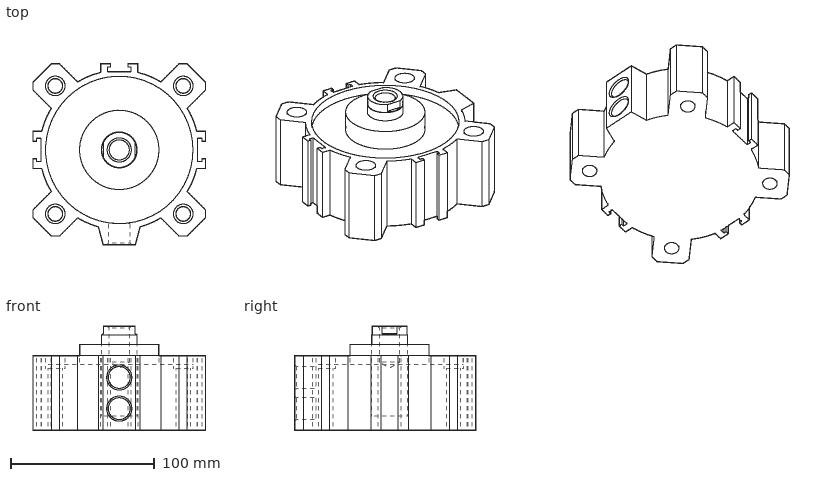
import cadquery as cq
import math

body_height = 52.0
body_radius = 55.5
half_width = 60.0

lug_width = 26.0
lug_reach = 75.8
lug_hole_offset = 44.5
lug_hole_diameter = 10.0
lug_counterbore_diameter = 13.6
lug_counterbore_depth = 9.0

rail_width = 26.0
slot_mouth_width = 12.0
slot_inner_width = 16.0
rail_angles = (0, 90, 180)
slot_lip = 2.5
slot_floor = 54.5

boss_face_y = -66.0
boss_face_width = 22.5
boss_root_y = -50.0
boss_flank_angle = 15.0
port_diameter = 15.2
port_mouth_diameter = 17.5
port_depth = 15.0
port_heights = (15.1, 36.8)

recess_diameter = 102.5
recess_depth = 6.3
guide_diameter = 55.2
guide_top = 59.8

rod_diameter = 25.0
rod_bottom = 10.0
rod_top = 72.5
rod_end_diameter = 24.4
shoulder_height = 66.3
flat_spacing = 22.0
flat_bottom = 67.2
bore_diameter = 14.0
bore_mouth_diameter = 16.8
bore_depth = 25.0
drill_point_angle = 118.0


def cylinder(diameter, bottom, top):
    return cq.Workplane("XY").workplane(offset=bottom).circle(diameter / 2).extrude(top - bottom)


def mounting_lug():
    lug = cq.Workplane("XY").rect(lug_reach, lug_width).extrude(body_height)
    return lug.translate((lug_reach / 2, 0, 0))


def mounting_lugs():
    """Four diagonal arms whose corners are trimmed by the square outer limits."""
    limits = cq.Workplane("XY").rect(2 * half_width, 2 * half_width).extrude(body_height)
    lugs = cq.Workplane("XY")
    for angle in (45, 135, 225, 315):
        lugs = lugs.union(mounting_lug().rotate((0, 0, 0), (0, 0, 1), angle))
    return lugs.intersect(limits)


def sensor_rail():
    rail = cq.Workplane("XY").rect(half_width, rail_width).extrude(body_height)
    return rail.translate((half_width / 2, 0, 0))


def sensor_slot():
    """T-shaped slot open toward +X."""
    mouth_depth = half_width - slot_floor
    inner_depth = mouth_depth - slot_lip
    mouth = cq.Workplane("XY").rect(mouth_depth, slot_mouth_width).extrude(body_height)
    inner = cq.Workplane("XY").rect(inner_depth, slot_inner_width).extrude(body_height)
    mouth = mouth.translate((slot_floor + mouth_depth / 2, 0, 0))
    return mouth.union(inner.translate((slot_floor + inner_depth / 2, 0, 0)))


def port_boss():
    """Wedge that widens from the port face into the round body."""
    face_half = boss_face_width / 2
    root_half = face_half + (boss_root_y - boss_face_y) * math.tan(math.radians(boss_flank_angle))
    outline = [
        (-face_half, boss_face_y),
        (face_half, boss_face_y),
        (root_half, boss_root_y),
        (-root_half, boss_root_y),
    ]
    return cq.Workplane("XY").polyline(outline).close().extrude(body_height)


def port(height):
    """Blind port along +Y with a 45 degree countersunk mouth."""
    radius = port_diameter / 2
    mouth_radius = port_mouth_diameter / 2
    profile = [
        (0, boss_face_y),
        (mouth_radius, boss_face_y),
        (radius, boss_face_y + mouth_radius - radius),
        (radius, boss_face_y + port_depth),
        (0, boss_face_y + port_depth),
    ]
    cutter = cq.Workplane("XY").polyline(profile).close().revolve(360, (0, 0), (0, 1))
    return cutter.translate((0, 0, height))


def make_housing():
    housing = cylinder(2 * body_radius, 0, body_height)
    housing = housing.union(mounting_lugs()).union(port_boss())
    for angle in rail_angles:
        housing = housing.union(sensor_rail().rotate((0, 0, 0), (0, 0, 1), angle))
    for angle in rail_angles:
        housing = housing.cut(sensor_slot().rotate((0, 0, 0), (0, 0, 1), angle))
    for height in port_heights:
        housing = housing.cut(port(height))

    housing = (
        housing.faces(">Z").workplane(origin=(0, 0, body_height))
        .rect(2 * lug_hole_offset, 2 * lug_hole_offset, forConstruction=True).vertices()
        .cboreHole(lug_hole_diameter, lug_counterbore_diameter, lug_counterbore_depth)
    )

    recess_floor = body_height - recess_depth
    housing = housing.cut(cylinder(recess_diameter, recess_floor, body_height))
    housing = housing.union(cylinder(guide_diameter, recess_floor, guide_top))
    return housing.cut(cylinder(rod_diameter, rod_bottom, guide_top))


def wrench_flat():
    """Cutter for the +X wrench flat, with a sloped run-out onto the shoulder."""
    flat_x = flat_spacing / 2
    rod_radius = rod_diameter / 2
    profile = [
        (flat_x, rod_top),
        (flat_x, flat_bottom),
        (rod_radius, shoulder_height),
        (rod_radius, rod_top),
    ]
    return cq.Workplane("XZ").polyline(profile).close().extrude(rod_radius, both=True)


def rod_bore():
    """Countersunk blind bore with a conical drill point."""
    radius = bore_diameter / 2
    mouth_radius = bore_mouth_diameter / 2
    bore_end = rod_top - bore_depth
    point_length = radius / math.tan(math.radians(drill_point_angle / 2))
    profile = [
        (0, rod_top),
        (mouth_radius, rod_top),
        (radius, rod_top - (mouth_radius - radius)),
        (radius, bore_end),
        (0, bore_end - point_length),
    ]
    return cq.Workplane("XZ").polyline(profile).close().revolve(360, (0, 0), (0, 1))


def make_rod():
    rod = cylinder(rod_diameter, rod_bottom, shoulder_height)
    rod = rod.union(cylinder(rod_end_diameter, shoulder_height, rod_top))
    for angle in (0, 180):
        rod = rod.cut(wrench_flat().rotate((0, 0, 0), (0, 0, 1), angle))
    return rod.cut(rod_bore())


housing = make_housing()
rod = make_rod()
result = cq.Compound.makeCompound([housing.val(), rod.val()])